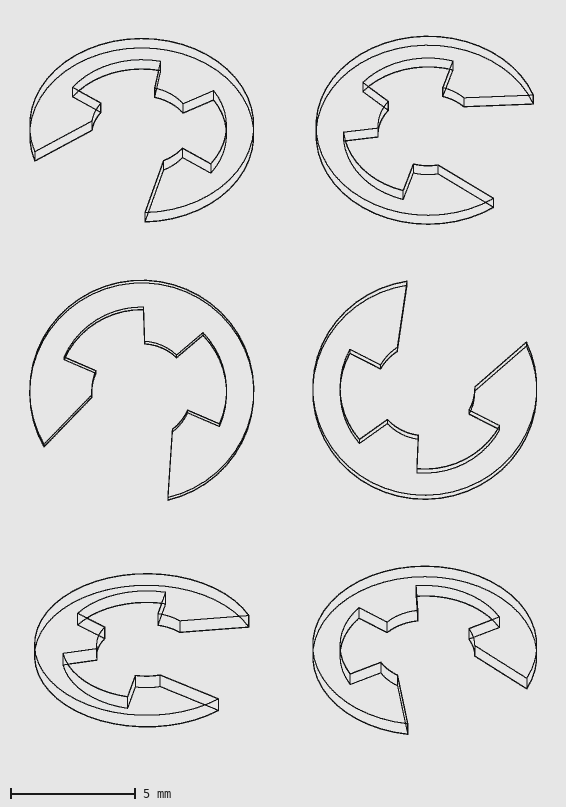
import cadquery as cq
import math

outer_radius = 4.49
relief_radius = 3.39
bore_radius = 2.0
thickness = 0.6
tip_drop = 3.58
seat_drop = 0.96
tab_root_half_width = 1.3
tab_seat_half_width = 0.7


def circle_coordinate(radius, other):
    """Positive X or Y on a centred circle, given the other coordinate."""
    return math.sqrt(radius**2 - other**2)


def midpoint_on_circle(radius, start, end):
    """Point halfway along the shorter arc between two points on a centred circle."""
    x = start[0] + end[0]
    y = start[1] + end[1]
    scale = radius / math.hypot(x, y)
    return (x * scale, y * scale)


def mirrored(point):
    """Point reflected across the YZ plane."""
    return (-point[0], point[1])


tip = (circle_coordinate(outer_radius, tip_drop), -tip_drop)
seat_low = (circle_coordinate(bore_radius, seat_drop), -seat_drop)
seat_high = (bore_radius, 0)
relief_low = (relief_radius, 0)
tab_root = (tab_root_half_width, circle_coordinate(relief_radius, tab_root_half_width))
tab_seat = (tab_seat_half_width, circle_coordinate(bore_radius, tab_seat_half_width))

seat_mid = midpoint_on_circle(bore_radius, seat_low, seat_high)
relief_mid = midpoint_on_circle(relief_radius, relief_low, tab_root)

result = (
    cq.Workplane("XY")
    .moveTo(*tip)
    .lineTo(*seat_low)
    .threePointArc(seat_mid, seat_high)
    .lineTo(*relief_low)
    .threePointArc(relief_mid, tab_root)
    .lineTo(*tab_seat)
    .threePointArc((0, bore_radius), mirrored(tab_seat))
    .lineTo(*mirrored(tab_root))
    .threePointArc(mirrored(relief_mid), mirrored(relief_low))
    .lineTo(*mirrored(seat_high))
    .threePointArc(mirrored(seat_mid), mirrored(seat_low))
    .lineTo(*mirrored(tip))
    .threePointArc((0, outer_radius), tip)
    .close()
    .extrude(thickness)
)